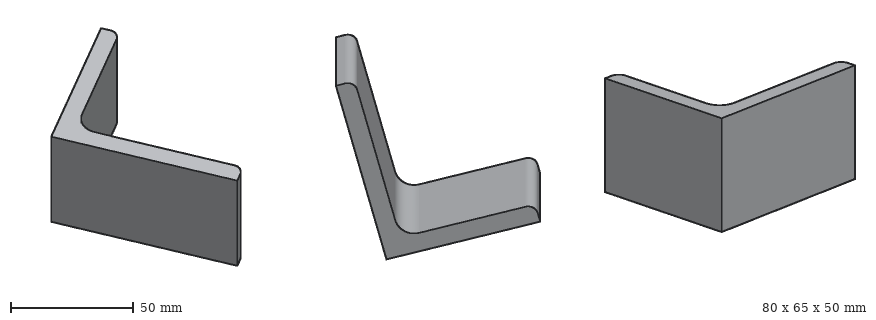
import cadquery as cq

long_leg = 80.0
short_leg = 65.0
thickness = 8.0
length = 50.0
root_radius = 8.0
toe_radius = 4.0


def angle_blank():
    """Sharp-cornered L section with its outer corner at the origin."""
    return (
        cq.Workplane("XY")
        .moveTo(0, 0)
        .lineTo(long_leg, 0)
        .lineTo(long_leg, thickness)
        .lineTo(thickness, thickness)
        .lineTo(thickness, short_leg)
        .lineTo(0, short_leg)
        .close()
        .extrude(length)
    )


def round_edge(body, x, y, radius):
    """Fillet the Z-parallel edge of the body nearest to (x, y)."""
    nearest_edge = cq.selectors.NearestToPointSelector((x, y, length / 2))
    return body.edges("|Z").edges(nearest_edge).fillet(radius)


result = angle_blank()
result = round_edge(result, thickness, thickness, root_radius)
result = round_edge(result, long_leg, thickness, toe_radius)
result = round_edge(result, thickness, short_leg, toe_radius)